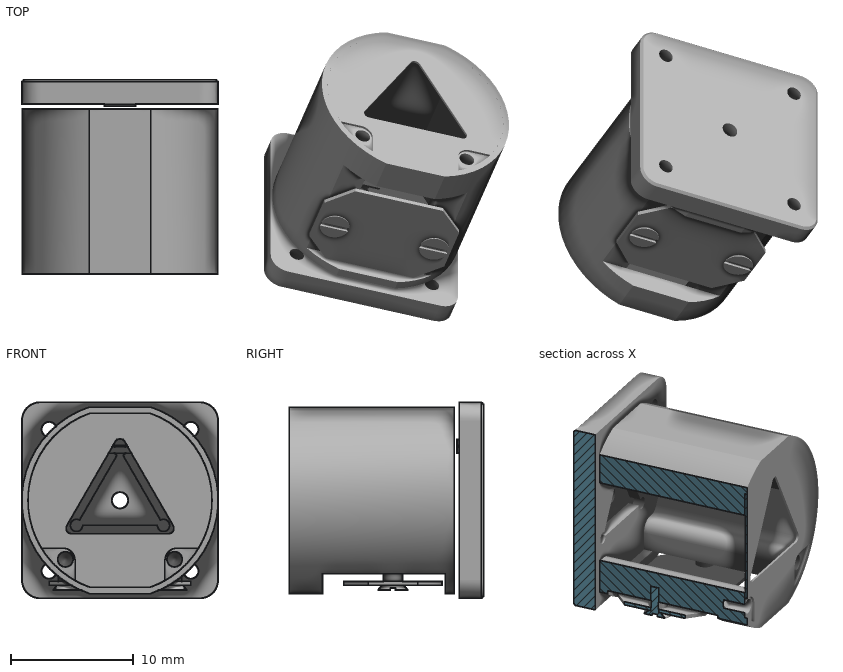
import cadquery as cq
import math


flange_side = 16.0
flange_thickness = 2.0
flange_corner_radius = 1.5
flange_back_chamfer = 0.2
flange_hole_radius = 0.6
flange_hole_offset = 5.78
centre_hole_radius = 0.65
overall_depth = 15.85
flange_front_y = overall_depth - flange_thickness

pocket_vertex_radius = 4.1
pocket_relief_radius = 0.5
pocket_depth = 1.0

strip_length = 2.56
strip_height = 0.5
strip_thickness = 0.2
strip_pitch = 0.62
lower_strip_z = pocket_vertex_radius

flange_gap = 0.4
housing_length = flange_front_y - flange_gap
housing_radius = 8.0
housing_flat_z = 7.6
rim_width = 0.5

cover_thickness = 0.2
window_inradius = 2.72
window_corner_radius = 0.43
notch_edge_x = 3.66
notch_top_z = -3.9
notch_corner_radius = 1.0

cavity_apothem = 6.13
cavity_floor_z = -3.45
cavity_fillet = 1.0
slot_half_width = 3.14

cutout_front_y = 2.72
cutout_back_y = 12.7
cutout_top_z = -6.0

front_hole_radius = 0.62
front_hole_x = 4.45
front_hole_z = -4.82
front_hole_depth = 1.92
drill_point_angle = 118.0

clamp_width = 11.52
clamp_length = 8.05
clamp_corner_chamfer = 2.02
clamp_thickness = 0.34
clamp_gap = 0.6
clamp_centre_y = 8.45
clamp_top_z = cutout_top_z - clamp_gap
clamp_bottom_z = clamp_top_z - clamp_thickness

screw_x = 4.24
shank_radius = 0.8
shank_engagement = 1.28
head_neck_radius = 0.91
head_radius = 1.2
head_cone_height = 0.34
head_rim_height = 0.06
driver_slot_width = 0.4
driver_slot_depth = 0.2

SIDES = (-1, 1)


def plane_at(y):
    """Sketch plane at depth y, with sketch axes along +X and +Z."""
    return cq.Workplane(cq.Plane(origin=(0, y, 0), xDir=(1, 0, 0), normal=(0, -1, 0)))


def prism(sketch, depth):
    """Extrude a sketch drawn on plane_at toward +Y."""
    return sketch.extrude(-depth)


def flat_sided_disc(radius, flat_z, y, depth):
    """Disc cut by two horizontal flats, at the top and the bottom."""
    disc = prism(plane_at(y).circle(radius), depth)
    return disc.intersect(prism(plane_at(y).rect(2 * radius, 2 * flat_z), depth))


def triangle_points(vertex_radius):
    """Vertices of an equilateral triangle that points up."""
    angles = [math.radians(a) for a in (90, 210, 330)]
    return [(vertex_radius * math.cos(a), vertex_radius * math.sin(a)) for a in angles]


def make_flange():
    flange = prism(plane_at(flange_front_y).rect(flange_side, flange_side), flange_thickness)
    flange = flange.edges("|Y").fillet(flange_corner_radius)
    flange = flange.faces(">Y").edges().chamfer(flange_back_chamfer)

    corners = [(sx * flange_hole_offset, sz * flange_hole_offset) for sx in SIDES for sz in SIDES]
    holes = plane_at(flange_front_y).pushPoints(corners).circle(flange_hole_radius)
    flange = flange.cut(prism(holes, flange_thickness))
    centre_hole = plane_at(flange_front_y).circle(centre_hole_radius)
    flange = flange.cut(prism(centre_hole, flange_thickness))

    vertices = triangle_points(pocket_vertex_radius)
    pocket = prism(plane_at(flange_front_y).polyline(vertices).close(), pocket_depth)
    reliefs = plane_at(flange_front_y).pushPoints(vertices).circle(pocket_relief_radius)
    return flange.cut(pocket).cut(prism(reliefs, pocket_depth))


def make_strip(z):
    """Contact strip that spans the top corner of the flange pocket."""
    sketch = plane_at(flange_front_y - strip_thickness).center(0, z).rect(strip_length, strip_height)
    return prism(sketch, strip_thickness)


def make_cover():
    """Thin plate set flush in the front rim, with a triangular window and two corner notches."""
    cover = flat_sided_disc(housing_radius - rim_width, housing_flat_z - rim_width, 0, cover_thickness)
    window = prism(plane_at(0).polyline(triangle_points(2 * window_inradius)).close(), cover_thickness)
    cover = cover.cut(window.edges("|Y").fillet(window_corner_radius))

    notch_size = housing_radius
    for side in SIDES:
        centre_x = side * (notch_edge_x + notch_size / 2)
        centre_z = notch_top_z - notch_size / 2
        notch = prism(plane_at(0).center(centre_x, centre_z).rect(notch_size, notch_size), cover_thickness)
        inner_edge = ">X" if side < 0 else "<X"
        cover = cover.cut(notch.edges("|Y").edges(inner_edge).edges(">Z").fillet(notch_corner_radius))
    return cover


def make_cavity():
    """Hexagonal cavity with a flat floor, and a slot with rounded lips down to the cutout."""
    depth = housing_length - cover_thickness
    hexagon_diameter = 2 * cavity_apothem / math.cos(math.pi / 6)
    hexagon = prism(plane_at(cover_thickness).polygon(6, hexagon_diameter), depth)
    above_floor = prism(
        plane_at(cover_thickness)
        .center(0, cavity_floor_z + housing_radius)
        .rect(2 * housing_radius, 2 * housing_radius),
        depth,
    )
    chamber = hexagon.intersect(above_floor)
    chamber = chamber.edges("|Y").edges("<Z").fillet(cavity_fillet)

    lip_x = slot_half_width + cavity_fillet
    lip_z = cavity_floor_z - cavity_fillet
    slot = prism(
        plane_at(cover_thickness)
        .moveTo(-lip_x, cavity_floor_z)
        .radiusArc((-slot_half_width, lip_z), cavity_fillet)
        .lineTo(-slot_half_width, cutout_top_z)
        .lineTo(slot_half_width, cutout_top_z)
        .lineTo(slot_half_width, lip_z)
        .radiusArc((lip_x, cavity_floor_z), cavity_fillet)
        .close(),
        depth,
    )
    return chamber.union(slot)


def make_front_hole(x):
    """Blind drilled hole with a conical bottom."""
    point_depth = front_hole_radius / math.tan(math.radians(drill_point_angle / 2))
    end_y = cover_thickness + front_hole_depth
    return (
        cq.Workplane("XY")
        .moveTo(0, cover_thickness)
        .lineTo(front_hole_radius, cover_thickness)
        .lineTo(front_hole_radius, end_y)
        .lineTo(0, end_y + point_depth)
        .close()
        .revolve(360, (0, 0, 0), (0, 1, 0))
        .translate((x, 0, front_hole_z))
    )


def make_shank(x, bottom_z):
    """Shank cylinder from the given height up to its end in the housing; also the shape of its holes."""
    return (
        cq.Workplane("XY")
        .workplane(offset=bottom_z)
        .center(x, clamp_centre_y)
        .circle(shank_radius)
        .extrude(cutout_top_z + shank_engagement - bottom_z)
    )


def make_housing():
    housing = flat_sided_disc(housing_radius, housing_flat_z, 0, housing_length)
    housing = housing.cut(
        flat_sided_disc(housing_radius - rim_width, housing_flat_z - rim_width, 0, cover_thickness)
    )
    housing = housing.cut(make_cavity())

    cutout = cq.Workplane("XY").box(
        2 * housing_radius,
        cutout_back_y - cutout_front_y,
        housing_radius + cutout_top_z,
        centered=(True, False, False),
    )
    housing = housing.cut(cutout.translate((0, cutout_front_y, -housing_radius)))

    for side in SIDES:
        housing = housing.cut(make_front_hole(side * front_hole_x))
        housing = housing.cut(make_shank(side * screw_x, cutout_top_z))
    return housing


def make_clamp_plate():
    plate = (
        cq.Workplane("XY")
        .workplane(offset=clamp_bottom_z)
        .center(0, clamp_centre_y)
        .rect(clamp_width, clamp_length)
        .extrude(clamp_thickness)
        .edges("|Z")
        .chamfer(clamp_corner_chamfer)
    )
    for side in SIDES:
        plate = plate.cut(make_shank(side * screw_x, clamp_bottom_z))
    return plate


def make_screw(x):
    """Slotted screw whose conical head widens downward below the clamp plate."""
    rim_top_z = clamp_bottom_z - head_cone_height
    head_bottom_z = rim_top_z - head_rim_height
    head = (
        cq.Workplane("XZ")
        .moveTo(0, head_bottom_z)
        .lineTo(head_radius, head_bottom_z)
        .lineTo(head_radius, rim_top_z)
        .lineTo(head_neck_radius, clamp_bottom_z)
        .lineTo(0, clamp_bottom_z)
        .close()
        .revolve(360, (0, 0, 0), (0, 1, 0))
        .translate((x, clamp_centre_y, 0))
    )
    driver_slot = (
        cq.Workplane("XY")
        .box(2 * head_radius, driver_slot_width, driver_slot_depth, centered=(True, True, False))
        .translate((x, clamp_centre_y, head_bottom_z))
    )
    return head.cut(driver_slot).union(make_shank(x, clamp_bottom_z))


flange = make_flange()
housing = make_housing()
cover = make_cover()
clamp_plate = make_clamp_plate()
strips = [make_strip(z) for z in (lower_strip_z, lower_strip_z + strip_pitch)]
screws = [make_screw(side * screw_x) for side in SIDES]

bodies = [flange, housing, cover, clamp_plate, *strips, *screws]
result = cq.Compound.makeCompound([solid for body in bodies for solid in body.solids().vals()])